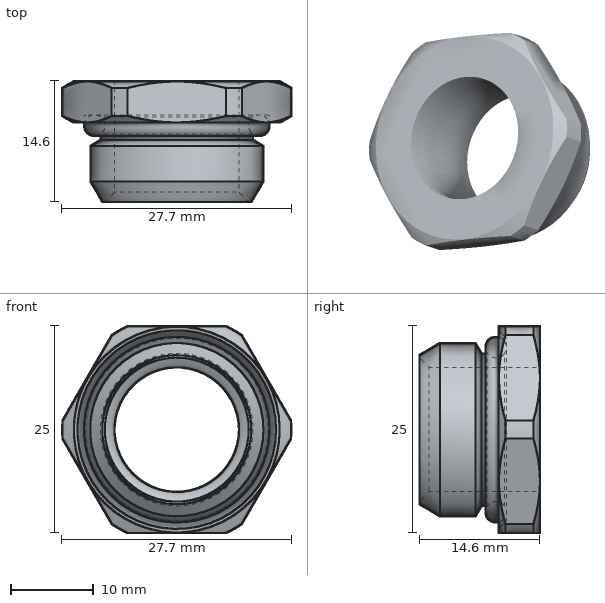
import cadquery as cq
import math


corner_diameter = 27.7
across_flats = 25.0
head_thickness = 5.0
head_chamfer_angle = 30.0
head_face_radius = 12.43

spigot_length = 9.58
spigot_radius = 10.47
spigot_shoulder_start = 2.08
spigot_shoulder_end = 2.82
spigot_taper_length = 2.5
spigot_tip_radius = 9.0
neck_radius = 9.22

bore_radius = 7.5
bore_mouth_radius = 8.7
bore_cone_half_angle = 45.0

seal_outer_radius = 11.21
seal_height = 1.6
seal_section_radius = 1.27
recess_mouth_radius = 12.0
seal_centre_radius = seal_outer_radius - seal_section_radius
seal_centre_axial = seal_height - seal_section_radius
recess_depth = seal_section_radius - seal_centre_axial
recess_floor_radius = recess_mouth_radius - recess_depth

head_chamfer_length = (corner_diameter / 2 - head_face_radius) * math.tan(math.radians(head_chamfer_angle))
bore_cone_length = (bore_mouth_radius - bore_radius) / math.tan(math.radians(bore_cone_half_angle))


def turned(points):
    """Turn a polygon of (radius, axial) points fully around the Y axis."""
    outline = cq.Workplane("XY").polyline([(r, -axial) for r, axial in points]).close()
    return outline.revolve(360, (0, 0, 0), (0, 1, 0))


def make_head():
    """Hexagon with flats at top and bottom, its corners turned down and chamfered on both faces."""
    hexagon = (
        cq.Workplane("XZ")
        .polygon(6, across_flats / math.cos(math.pi / 6))
        .extrude(-head_thickness)
    )
    corner_limit = turned([
        (0, 0),
        (head_face_radius, 0),
        (corner_diameter / 2, -head_chamfer_length),
        (corner_diameter / 2, head_chamfer_length - head_thickness),
        (head_face_radius, -head_thickness),
        (0, -head_thickness),
    ])
    return hexagon.intersect(corner_limit)


def make_spigot():
    """Necked spigot with a chamfered shoulder and a tapered tip."""
    return turned([
        (0, -head_thickness / 2),
        (neck_radius, -head_thickness / 2),
        (neck_radius, spigot_shoulder_start),
        (spigot_radius, spigot_shoulder_end),
        (spigot_radius, spigot_length - spigot_taper_length),
        (spigot_tip_radius, spigot_length),
        (0, spigot_length),
    ])


def make_bore():
    """Through bore opening into a cone at the spigot tip."""
    return turned([
        (0, -head_thickness),
        (bore_radius, -head_thickness),
        (bore_radius, spigot_length - bore_cone_length),
        (bore_mouth_radius, spigot_length),
        (0, spigot_length),
    ])


def make_seal_recess():
    """Ring recess in the bearing face with a conical outer wall narrowing towards its floor."""
    return turned([
        (neck_radius, 0),
        (recess_mouth_radius, 0),
        (recess_floor_radius, -recess_depth),
        (neck_radius, -recess_depth),
    ])


def make_seal():
    """O-ring with a round section, resting on the recess floor."""
    section = cq.Workplane("XY").center(seal_centre_radius, -seal_centre_axial).circle(seal_section_radius)
    turning_axis_start = (-seal_centre_radius, 0)
    turning_axis_end = (-seal_centre_radius, 1)
    return section.revolve(360, turning_axis_start, turning_axis_end)


seal = make_seal()
fitting = make_head().cut(make_seal_recess()).union(make_spigot()).cut(make_bore())
fitting = fitting.cut(seal)

result = cq.Compound.makeCompound([fitting.val(), seal.val()])